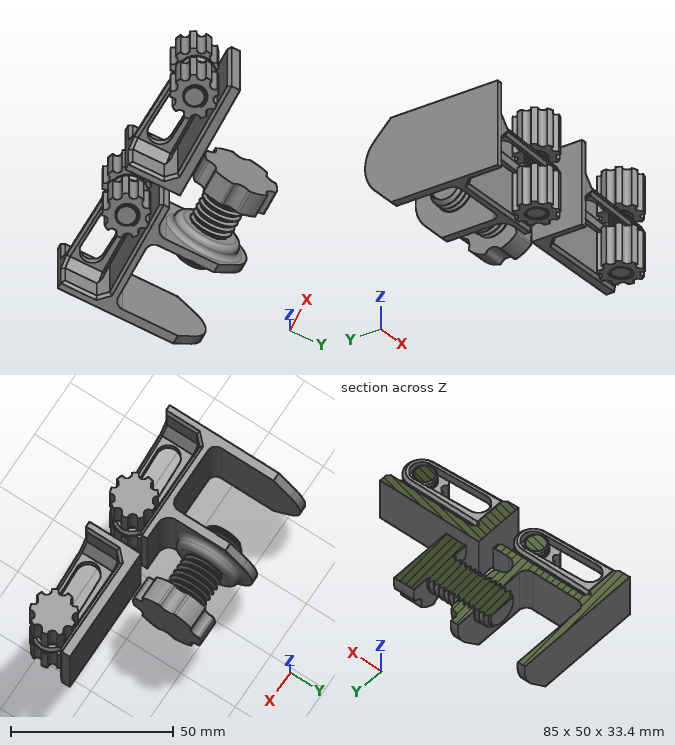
import cadquery as cq
import math

bracket_width = 39.95
bracket_height = 30.0
wall = 3.0
front_depth = 15.0
edge_chamfer = 1.0
corner_leg = 3.0
plain_back = 4.0
middle_z = bracket_height / 2

arm_thickness = 3.0
arm_end_x = 32.7
arm_back_y = 13.5
arm_root_x = wall + corner_leg
slot_start_x = 10.8
slot_start_y = 6.5
slot_diameter = 8.0

ear_length = 50.0
ear_tip_radius = 12.5
second_ear_x = 27.0
inner_fillet = 3.0
outer_fillet = 4.0
back_outer_y = front_depth + wall

boss_diameter = 22.4
boss_edge_fillet = 2.1
boss_base_fillet = 1.9
boss_length = boss_base_fillet + boss_edge_fillet

big_crest = 13.85
big_root = 11.6
big_hole_crest = 14.3
big_hole_root = 12.4
small_crest = 7.65
small_root = 6.5
small_hole_crest = 8.2
small_hole_root = 6.8
flank_angle = 30.0
crest_flat = 1 / 8
root_overlap = 0.1

big_axis_y = 35.0
big_tip_x = 21.85
big_length = 25.2
big_tip_chamfer = 1.7
big_turns = 12.5
big_pitch = big_length / big_turns
big_start_angle = 180
big_head_diameter = 25.0
big_head_length = 8.1
scallop_count = 6
scallop_radius = 3.0
scallop_centre = 13.5
scallop_edge_fillet = 0.8

knob_x = 31.45
knob_y = front_depth / 2
knob_diameter = front_depth
knob_height = 13.0
knob_bottom_z = 20.4
small_turns = 16.3
small_pitch = knob_bottom_z / small_turns
groove_count = 9
groove_radius = 1.5
nut_height = middle_z - arm_thickness / 2
small_tip_chamfer = 0.8

total_width = 85.0
bracket_pitch = total_width - bracket_width
tolerance = 0.04


def threaded_rod(root_diameter, crest_diameter, length, pitch, start_angle=0, tip_chamfer=0):
    """A rod along +Z with a right-hand ridge of triangular section and its tip at the origin."""
    root = root_diameter / 2
    crest = crest_diameter / 2
    foot = root - root_overlap * pitch
    crest_half = crest_flat * pitch / 2
    foot_half = crest_half + (crest - foot) * math.tan(math.radians(flank_angle))
    section = (
        cq.Workplane("XZ")
        .polyline([(foot, -foot_half), (crest, -crest_half), (crest, crest_half), (foot, foot_half)])
        .close()
    )
    path = cq.Workplane(obj=cq.Wire.makeHelix(pitch, length + 2 * pitch, root))
    ridge = section.sweep(path, isFrenet=True).translate((0, 0, -pitch))
    core = cq.Workplane("XY").workplane(offset=-2 * pitch).circle(root).extrude(length + 4 * pitch)
    envelope = cq.Workplane("XY").circle(crest + tolerance).extrude(length)
    if tip_chamfer > 0:
        envelope = envelope.faces("<Z").chamfer(tip_chamfer)
    return core.union(ridge).intersect(envelope).rotate((0, 0, 0), (0, 0, 1), start_angle)


def angle_profile(back_thickness):
    """Side wall and back plate, chamfered around the rim of their inner faces."""
    back_y = front_depth + back_thickness
    profile = (
        cq.Workplane("XY")
        .polyline([
            (0, 0),
            (wall, 0),
            (wall, front_depth - corner_leg),
            (wall + corner_leg, front_depth),
            (bracket_width, front_depth),
            (bracket_width, back_y),
            (0, back_y),
        ])
        .close()
        .extrude(bracket_height)
    )
    inner_edges = cq.selectors.BoxSelector(
        (wall - tolerance, -tolerance, -tolerance),
        (bracket_width + tolerance, front_depth + tolerance, bracket_height + tolerance),
    )
    corner_edges = cq.selectors.BoxSelector(
        (wall - tolerance, front_depth - corner_leg - tolerance, middle_z - tolerance),
        (wall + corner_leg + tolerance, front_depth + tolerance, middle_z + tolerance),
    )
    return profile.edges(inner_edges - corner_edges).chamfer(edge_chamfer)


def slotted_arm():
    """Tapering arm with a round end, a flared root and chamfered outer edges."""
    start_x = wall - edge_chamfer
    end_y = knob_y
    end_radius = arm_back_y - end_y
    run = arm_end_x - start_x
    taper = math.atan2(end_y, run) - math.asin(end_radius / math.hypot(run, end_y))
    plan = (
        cq.Workplane("XY")
        .moveTo(start_x, 0)
        .lineTo(arm_end_x + end_radius * math.sin(taper), end_y - end_radius * math.cos(taper))
        .threePointArc((arm_end_x + end_radius, end_y), (arm_end_x, arm_back_y))
        .lineTo(start_x, arm_back_y)
        .close()
        .extrude(bracket_height)
    )
    half = arm_thickness / 2
    flare_half = half + arm_root_x - start_x
    side = (
        cq.Workplane("XZ", origin=(0, 0, middle_z))
        .polyline([
            (start_x, -flare_half),
            (arm_root_x, -half),
            (bracket_width, -half),
            (bracket_width, half),
            (arm_root_x, half),
            (start_x, flare_half),
        ])
        .close()
        .extrude(-arm_back_y)
    )
    arm = plan.intersect(side).edges("not(|Y or |Z)").chamfer(edge_chamfer)

    slot_run = arm_end_x - slot_start_x
    slot_rise = end_y - slot_start_y
    slot_length = math.hypot(slot_run, slot_rise)
    slot = (
        cq.Workplane("XY")
        .center((slot_start_x + arm_end_x) / 2, (slot_start_y + end_y) / 2)
        .slot2D(slot_length + slot_diameter, slot_diameter, math.degrees(math.atan2(slot_rise, slot_run)))
        .extrude(bracket_height)
    )
    return arm.cut(slot)


def ear(left_x):
    """Plate standing on the back of the bracket, with sloping shoulders and a round tip."""
    centre_y = ear_length - ear_tip_radius
    tangent = ear_tip_radius * math.sin(math.radians(45))
    shoulder_y = centre_y + tangent - (middle_z - tangent)
    return (
        cq.Workplane("YZ", origin=(left_x, 0, 0))
        .moveTo(front_depth + wall / 2, 0)
        .lineTo(shoulder_y, 0)
        .lineTo(centre_y + tangent, middle_z - tangent)
        .threePointArc((ear_length, middle_z), (centre_y + tangent, middle_z + tangent))
        .lineTo(shoulder_y, bracket_height)
        .lineTo(front_depth + wall / 2, bracket_height)
        .close()
        .extrude(wall)
    )


def root_fillet(corner_x, direction, radius):
    """Concave fillet between the back plate and an ear face that points along +X or -X."""
    centre_x = direction * radius
    square = cq.Workplane("XY").center(centre_x / 2, radius / 2).rect(radius, radius).extrude(bracket_height)
    round_cut = cq.Workplane("XY").center(centre_x, radius).circle(radius).extrude(bracket_height)
    return square.cut(round_cut).translate((corner_x, back_outer_y, 0))


def boss():
    """Boss of revolution with a concave foot and a rounded edge."""
    radius = boss_diameter / 2
    diagonal = math.sqrt(0.5)
    foot_radius = radius + boss_base_fillet
    edge_radius = radius - boss_edge_fillet
    return (
        cq.Workplane("XY")
        .moveTo(0, 0)
        .lineTo(0, foot_radius)
        .threePointArc(
            (boss_base_fillet * (1 - diagonal), foot_radius - boss_base_fillet * diagonal),
            (boss_base_fillet, radius),
        )
        .threePointArc(
            (boss_base_fillet + boss_edge_fillet * diagonal, edge_radius + boss_edge_fillet * diagonal),
            (boss_length, edge_radius),
        )
        .lineTo(boss_length, 0)
        .close()
        .revolve(360, (0, 0, 0), (1, 0, 0))
        .translate((second_ear_x + wall, big_axis_y, middle_z))
    )


def along_big_axis(body):
    """Turn a body from +Z to +X and put its start at the tip of the big screw."""
    return body.rotate((0, 0, 0), (0, 1, 0), 90).translate((big_tip_x, big_axis_y, middle_z))


def eared_bracket():
    second_ear_end = second_ear_x + wall
    bracket = angle_profile(wall).union(slotted_arm())
    for left_x in (0, second_ear_x):
        bracket = bracket.union(ear(left_x))
    bracket = bracket.union(root_fillet(wall, 1, inner_fillet))
    bracket = bracket.union(root_fillet(second_ear_x, -1, inner_fillet))
    bracket = bracket.union(root_fillet(second_ear_end, 1, outer_fillet))
    bracket = bracket.union(boss())
    hole = threaded_rod(big_hole_root, big_hole_crest, big_length, big_pitch, big_start_angle)
    return bracket.cut(along_big_axis(hole))


def plain_bracket():
    bracket = angle_profile(plain_back).union(slotted_arm())
    return bracket.translate((bracket_pitch, 0, 0))


def big_screw():
    shank = threaded_rod(big_root, big_crest, big_length, big_pitch, big_start_angle, big_tip_chamfer)
    head = (
        cq.Workplane("XY", origin=(0, 0, big_length))
        .circle(big_head_diameter / 2)
        .extrude(big_head_length)
    )
    scallops = (
        cq.Workplane("XY", origin=(0, 0, big_length))
        .polarArray(scallop_centre, 0, 360, scallop_count)
        .circle(scallop_radius)
        .extrude(big_head_length)
    )
    head = head.cut(scallops).edges("|Z").fillet(scallop_edge_fillet)
    return along_big_axis(shank.union(head))


def grooved_grip(height):
    """Cylinder with round grooves along its side, one of them facing the front."""
    grip = cq.Workplane("XY").circle(knob_diameter / 2).extrude(height)
    grooves = (
        cq.Workplane("XY")
        .polarArray(knob_diameter / 2, -90, 360, groove_count)
        .circle(groove_radius)
        .extrude(height)
    )
    return grip.cut(grooves)


def knob():
    shank = threaded_rod(
        small_root, small_crest, knob_bottom_z, small_pitch, tip_chamfer=small_tip_chamfer
    )
    grip = grooved_grip(knob_height).translate((0, 0, knob_bottom_z))
    return shank.union(grip)


def nut():
    hole = threaded_rod(small_hole_root, small_hole_crest, nut_height, small_pitch)
    return grooved_grip(nut_height).cut(hole)


bodies = [eared_bracket().val(), plain_bracket().val(), big_screw().val()]
knob_body = knob()
nut_body = nut()
for offset in (0, bracket_pitch):
    place = (knob_x + offset, knob_y, 0)
    bodies.append(knob_body.translate(place).val())
    bodies.append(nut_body.translate(place).val())

result = cq.Compound.makeCompound(bodies)